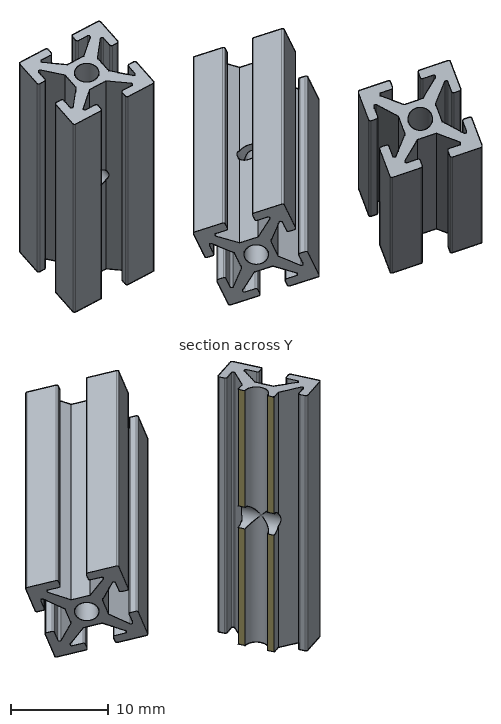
import cadquery as cq

side = 10.0
length = 30.0

slot_opening = 3.0
lip_thickness = 1.0
undercut_width = 6.0
undercut_wall = 0.27
core_width = 4.02
slot_floor_width = 2.05
edge_radius = 0.2
undercut_radius = 0.15

hole_diameter = 2.5

half_side = side / 2
lip_inner = half_side - lip_thickness


def make_slot():
    """T-slot cutter on the +Y side, running the full length."""
    half_opening = slot_opening / 2
    half_undercut = undercut_width / 2
    half_floor = slot_floor_width / 2
    floor = core_width / 2
    wall_bottom = lip_inner - undercut_wall
    right_half = [
        (half_opening, half_side),
        (half_opening, lip_inner),
        (half_undercut, lip_inner),
        (half_undercut, wall_bottom),
        (half_floor, floor),
    ]
    left_half = [(-x, y) for x, y in reversed(right_half)]
    slot = cq.Workplane("XY").polyline(right_half + left_half).close().extrude(length)
    undercut_edges = vertical_edges_at(half_undercut, lip_inner, wall_bottom)
    return slot.edges(undercut_edges).fillet(undercut_radius)


def vertical_edges_at(half_width, *heights):
    """Select the lengthwise edges at +/- half_width for each given Y."""
    tolerance = 0.003
    selector = None
    for x in (-half_width, half_width):
        for y in heights:
            box = cq.selectors.BoxSelector(
                (x - tolerance, y - tolerance, 0),
                (x + tolerance, y + tolerance, length),
            )
            selector = box if selector is None else selector + box
    return selector


slot = make_slot()
profile = cq.Workplane("XY").rect(side, side).extrude(length)
for turn in range(4):
    profile = profile.cut(slot.rotate((0, 0, 0), (0, 0, 1), 90 * turn))

profile = profile.edges(vertical_edges_at(half_side, -half_side, half_side)).fillet(edge_radius)
lip_x_edges = vertical_edges_at(slot_opening / 2, -half_side, -lip_inner, lip_inner, half_side)
profile = profile.edges(lip_x_edges).fillet(edge_radius)
for lip_x in (lip_inner, half_side):
    lip_y_edges = vertical_edges_at(lip_x, -slot_opening / 2, slot_opening / 2)
    profile = profile.edges(lip_y_edges).fillet(edge_radius)

bore = cq.Workplane("XY").circle(hole_diameter / 2).extrude(length)

cross_hole = (
    cq.Workplane("YZ")
    .center(0, length / 2)
    .circle(hole_diameter / 2)
    .extrude(half_side, both=True)
)

result = profile.cut(bore).cut(cross_hole)